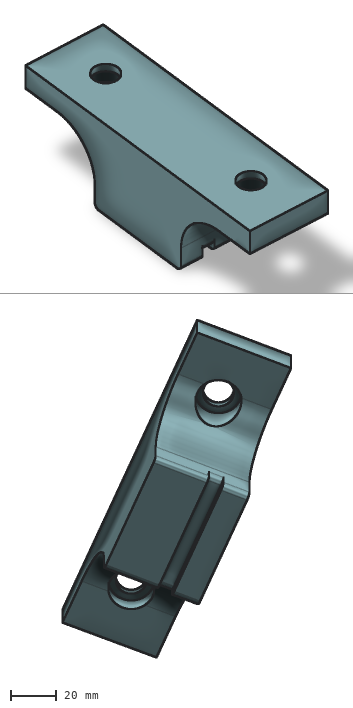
import cadquery as cq

length = 152.4
depth = 44.5
height = 50.7

plate_thickness = 12.8
end_taper = 0.3

stem_width = 58.5
blend_radius = 25.1
stem_center_x = length / 2

front_rim_depth = 12.3
groove_width = 6.9
groove_height = 5.0
rear_land_height = 1.4
front_corner_radius = 2.7
rear_corner_radius = 2.5

hole_diameter = 13.5
hole_spacing = 98.5
hole_from_back = 21.3
counterbore_diameter = 20.1
counterbore_roof = 4.1


def make_plate():
    """Top plate, tapered from full length at the back to slightly less in front."""
    outline = [(0, 0), (length - end_taper, 0), (length, depth), (0, depth)]
    return (
        cq.Workplane("XY", origin=(0, 0, height - plate_thickness))
        .polyline(outline)
        .close()
        .extrude(plate_thickness)
    )


def make_stem_slice(y_start, y_end, bottom_z, corner_radius):
    """Slice of the stem with rounded lower corners and concave blends into the plate."""
    blend_top = height - plate_thickness
    blend_bottom = blend_top - blend_radius
    half_width = stem_width / 2
    blend_reach = half_width + blend_radius
    return (
        cq.Workplane("XZ", origin=(stem_center_x, y_end, 0))
        .moveTo(-blend_reach, blend_top)
        .radiusArc((-half_width, blend_bottom), blend_radius)
        .lineTo(-half_width, bottom_z + corner_radius)
        .radiusArc((-half_width + corner_radius, bottom_z), -corner_radius)
        .lineTo(half_width - corner_radius, bottom_z)
        .radiusArc((half_width, bottom_z + corner_radius), -corner_radius)
        .lineTo(half_width, blend_bottom)
        .radiusArc((blend_reach, blend_top), blend_radius)
        .close()
        .extrude(y_end - y_start)
    )


def make_hole_cutter(x):
    """Through hole plus a counterbore reaching up from below."""
    hole_y = depth - hole_from_back
    hole = cq.Workplane("XY", origin=(x, hole_y, 0)).circle(hole_diameter / 2).extrude(height)
    counterbore = (
        cq.Workplane("XY", origin=(x, hole_y, 0))
        .circle(counterbore_diameter / 2)
        .extrude(height - counterbore_roof)
    )
    return hole.union(counterbore)


groove_back = front_rim_depth + groove_width

result = (
    make_plate()
    .union(make_stem_slice(0, front_rim_depth, 0, front_corner_radius))
    .union(make_stem_slice(front_rim_depth, groove_back, groove_height, front_corner_radius))
    .union(make_stem_slice(groove_back, depth, rear_land_height, rear_corner_radius))
)

for side in (-1, 1):
    result = result.cut(make_hole_cutter(length / 2 + side * hole_spacing / 2))